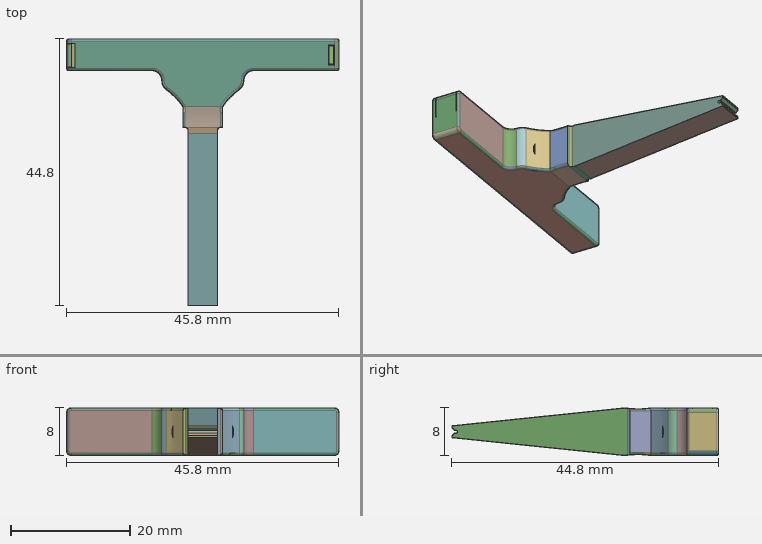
import cadquery as cq
import math

HEIGHT = 8.0
HALF_HEIGHT = HEIGHT / 2

BAR_LENGTH = 45.8
BAR_DEPTH = 5.35
BAR_END_RADIUS = 0.8
EDGE_RADIUS = 0.4

BAR_FILLET_RADIUS = 1.65
SHOULDER_HALF_WIDTH = 6.9
SHOULDER_END_X = 6.2
SHOULDER_END_Y = 8.48
FLANK_SAG = 0.2
NECK_HALF_WIDTH = 3.35
NECK_START_Y = 11.4
NECK_END_Y = 14.9

BLADE_HALF_WIDTH = 2.5
BLADE_ROOT_RADIUS = 0.44
TAPER_START_Y = 15.9
TIP_Y = 44.84
TIP_HALF_HEIGHT = 1.0
DIP_DEPTH = 0.15
DIP_RAMP_DROP = 0.08

NOTCH_HALF_MOUTH = 0.66
NOTCH_V_DEPTH = 0.42
NOTCH_SLOT_RADIUS = 0.22
NOTCH_DEPTH = 0.92

CORE_RADIUS = 2.2
CORE_CENTER_X = 3.0
CORE_START_Y = 8.0
CORE_END_Y = 9.45

TAB_POCKET_BACK_Y = 0.75
TAB_POCKET_FRONT_Y = 4.85
TAB_POCKET_DEPTH = 1.4
TAB_THICKNESS = BAR_END_RADIUS
TAB_CLEARANCE = 0.1

LATCH_BACK_Y = 1.05
LATCH_FRONT_Y = 4.4
LATCH_INNER_X = 21.1
LATCH_OUTER_X = BAR_LENGTH / 2 - BAR_END_RADIUS
LATCH_DRAFT = 2.0


def box_between(x_range, y_range, z_range):
    """Box spanning the three (low, high) ranges."""
    sizes = [high - low for low, high in (x_range, y_range, z_range)]
    return (
        cq.Workplane("XY")
        .box(*sizes, centered=False)
        .translate((x_range[0], y_range[0], z_range[0]))
    )


def make_half_handle():
    """The +X half of the handle, sharp edged."""
    fillet_start = (SHOULDER_HALF_WIDTH + BAR_FILLET_RADIUS, -BAR_DEPTH)
    fillet_end = (SHOULDER_HALF_WIDTH, -BAR_DEPTH - BAR_FILLET_RADIUS)
    shoulder_end = (SHOULDER_END_X, -SHOULDER_END_Y)
    neck_start = (NECK_HALF_WIDTH, -NECK_START_Y)
    diagonal = BAR_FILLET_RADIUS * math.sqrt(0.5)
    fillet_middle = (fillet_start[0] - diagonal, fillet_end[1] + diagonal)
    flank_run = SHOULDER_END_X - NECK_HALF_WIDTH
    flank_drop = NECK_START_Y - SHOULDER_END_Y
    flank_length = math.hypot(flank_run, flank_drop)
    flank_middle = (
        (SHOULDER_END_X + NECK_HALF_WIDTH) / 2 - FLANK_SAG * flank_drop / flank_length,
        -(SHOULDER_END_Y + NECK_START_Y) / 2 + FLANK_SAG * flank_run / flank_length,
    )
    return (
        cq.Workplane("XY")
        .workplane(offset=-HALF_HEIGHT)
        .moveTo(0, 0)
        .lineTo(BAR_LENGTH / 2, 0)
        .lineTo(BAR_LENGTH / 2, -BAR_DEPTH)
        .lineTo(*fillet_start)
        .threePointArc(fillet_middle, fillet_end)
        .tangentArcPoint(shoulder_end, relative=False)
        .threePointArc(flank_middle, neck_start)
        .lineTo(NECK_HALF_WIDTH, -NECK_END_Y)
        .lineTo(0, -NECK_END_Y)
        .close()
        .extrude(HEIGHT)
    )


def make_neck_dips():
    """Shallow arched cuts across the top and bottom of the neck."""
    middle_y = -(NECK_START_Y + NECK_END_Y) / 2
    dip = (
        cq.Workplane("YZ")
        .moveTo(-NECK_START_Y, HALF_HEIGHT)
        .threePointArc(
            (middle_y, HALF_HEIGHT - DIP_DEPTH),
            (-NECK_END_Y, HALF_HEIGHT - DIP_RAMP_DROP),
        )
        .lineTo(-TAPER_START_Y, HALF_HEIGHT)
        .close()
        .extrude(NECK_HALF_WIDTH, both=True)
    )
    return dip.union(dip.mirror("XY"))


def round_handle_edges(handle):
    """Round the bar ends, then the rest of the outline including the neck's long edges."""
    handle = handle.edges("(<X or >X) and |Y").fillet(BAR_END_RADIUS)
    margin = 0.1
    neck_zone = cq.selectors.BoxSelector(
        (-NECK_HALF_WIDTH - margin, -NECK_END_Y - margin, -HALF_HEIGHT - margin),
        (NECK_HALF_WIDTH + margin, -NECK_START_Y - margin, HALF_HEIGHT + margin),
    )
    bar_corners = handle.edges("(<X or >X) and |Z")
    neck_edges = handle.edges(neck_zone).edges("not(|X or |Z)")
    return bar_corners.add(neck_edges).fillet(EDGE_RADIUS)


def make_handle():
    """Handle with the neck hollowed and the edges rounded."""
    half = make_half_handle()
    handle = half.union(half.mirror("YZ")).clean()
    return round_handle_edges(handle.cut(make_neck_dips()))


def make_blade():
    """Tapered blade, notched at the tip and flared where it leaves the neck."""
    throat_y = -TIP_Y + NOTCH_V_DEPTH
    slot_arc_y = -TIP_Y + NOTCH_DEPTH - NOTCH_SLOT_RADIUS
    blade = (
        cq.Workplane("YZ")
        .moveTo(-NECK_START_Y, HALF_HEIGHT)
        .lineTo(-TAPER_START_Y, HALF_HEIGHT)
        .lineTo(-TIP_Y, TIP_HALF_HEIGHT)
        .lineTo(-TIP_Y, NOTCH_HALF_MOUTH)
        .lineTo(throat_y, NOTCH_SLOT_RADIUS)
        .lineTo(slot_arc_y, NOTCH_SLOT_RADIUS)
        .threePointArc((-TIP_Y + NOTCH_DEPTH, 0), (slot_arc_y, -NOTCH_SLOT_RADIUS))
        .lineTo(throat_y, -NOTCH_SLOT_RADIUS)
        .lineTo(-TIP_Y, -NOTCH_HALF_MOUTH)
        .lineTo(-TIP_Y, -TIP_HALF_HEIGHT)
        .lineTo(-TAPER_START_Y, -HALF_HEIGHT)
        .lineTo(-NECK_START_Y, -HALF_HEIGHT)
        .close()
        .extrude(BLADE_HALF_WIDTH, both=True)
    )
    flare = make_root_flare()
    return blade.union(flare).union(flare.mirror("YZ")).cut(make_neck_dips())


def make_root_flare():
    """Concave fillet between the +X side of the blade and the neck's end face."""
    corner = (BLADE_HALF_WIDTH, -NECK_END_Y)
    diagonal = BLADE_ROOT_RADIUS * (1 - math.sqrt(0.5))
    return (
        cq.Workplane("XY")
        .workplane(offset=-HALF_HEIGHT)
        .moveTo(*corner)
        .lineTo(corner[0] + BLADE_ROOT_RADIUS, corner[1])
        .threePointArc(
            (corner[0] + diagonal, corner[1] - diagonal),
            (corner[0], corner[1] - BLADE_ROOT_RADIUS),
        )
        .close()
        .extrude(HEIGHT)
    )


def make_cores():
    """Pair of round cores along Y, one under each flank."""
    return (
        cq.Workplane("XZ")
        .workplane(offset=CORE_START_Y)
        .pushPoints([(-CORE_CENTER_X, 0), (CORE_CENTER_X, 0)])
        .circle(CORE_RADIUS)
        .extrude(CORE_END_Y - CORE_START_Y)
    )


def make_tab_slit():
    """U-shaped slit around the spring tab, open at the top and cut to mid height."""
    end_x = -BAR_LENGTH / 2
    y_front = -TAB_POCKET_FRONT_Y
    y_back = -TAB_POCKET_BACK_Y
    z_range = (0, HALF_HEIGHT)
    pocket = box_between((end_x, end_x + TAB_POCKET_DEPTH), (y_front, y_back), z_range)
    tab = box_between(
        (end_x, end_x + TAB_THICKNESS),
        (y_front + TAB_CLEARANCE, y_back - TAB_CLEARANCE),
        z_range,
    )
    return pocket.cut(tab)


def make_latch_pocket():
    """Pocket at the +X end whose walls lean in toward the floor at mid height."""
    return (
        cq.Workplane("XY")
        .workplane(offset=HALF_HEIGHT)
        .center((LATCH_INNER_X + LATCH_OUTER_X) / 2, -(LATCH_BACK_Y + LATCH_FRONT_Y) / 2)
        .rect(LATCH_OUTER_X - LATCH_INNER_X, LATCH_FRONT_Y - LATCH_BACK_Y)
        .extrude(-HALF_HEIGHT, taper=LATCH_DRAFT)
    )


result = (
    make_handle()
    .union(make_blade())
    .union(make_cores())
    .cut(make_tab_slit())
    .cut(make_latch_pocket())
)